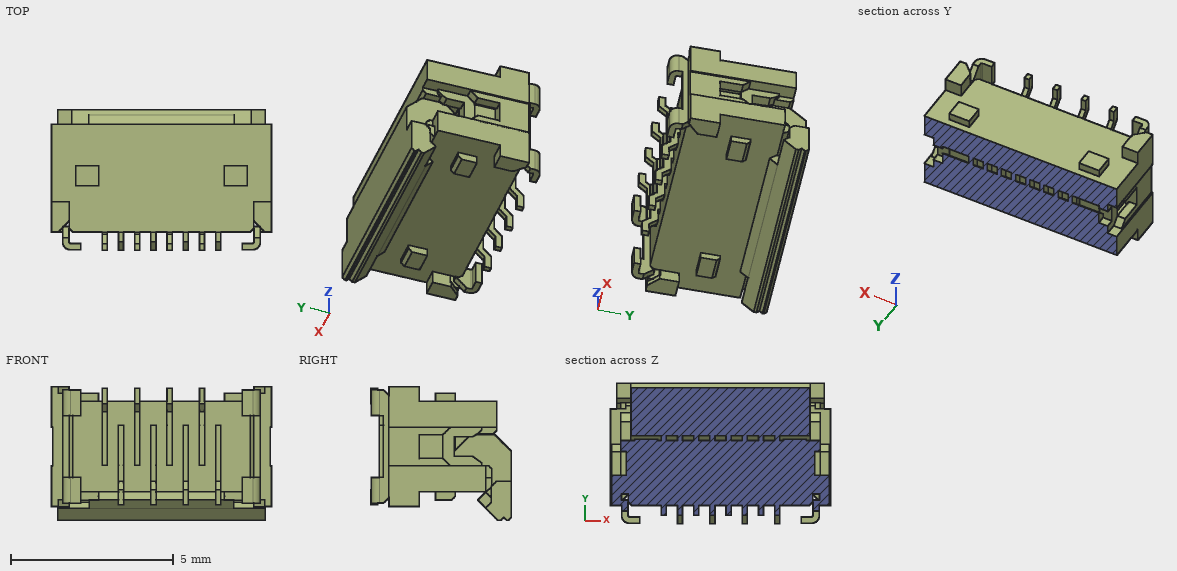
import cadquery as cq
import math

LENGTH = 6.8
HALF_LENGTH = LENGTH / 2
BODY_HALF_HEIGHT = 1.4
ROOF_REAR = 3.33
FLOOR_REAR = 2.98
ROOF_UNDERSIDE = 0.39
ROOF_CHAMFER = 0.11

FLANGE_HALF_HEIGHT = 1.85
FLANGE_DEPTH = 0.94
FLANGE_INNER_X = 2.85
FLANGE_CHAMFER = 0.33
FLANGE_CAP = 0.205

RECESS_HALF_HEIGHT = 0.6
SIDE_RECESS_X = 3.36
REAR_RECESS_X = 3.08
REAR_RECESS_FRONT = 1.665
REAR_RECESS_CHAMFER = 0.23
WINDOW_FRONT = FLANGE_DEPTH
WINDOW_HALF_HEIGHT = 0.36
WINDOW_CAVITY_X = 2.91
WINDOW_CAVITY_HALF_HEIGHT = 0.475

MOUTH_END = 2.01
END_WALL_REAR = 2.86
END_SLOT_NECK = 2.58
END_SLOT_TOP = 0.3
END_SLOT_BOTTOM = -0.3
END_SLOT_TOP_FLARE = 0.52
END_SLOT_BOTTOM_FLARE = -0.5
ROOF_STEP_X = 2.99

LIP_REAR = 3.175
LIP_CHAMFER = 0.095
LIP_LEDGE = -0.96
LIP_SLOPE_TOP = -1.245
LIP_UPPER_HALF_LENGTH = 2.92

BOSS_LENGTH = 0.71
BOSS_WIDTH = 0.61
BOSS_HEIGHT = 0.25
BOSS_X = 2.29
BOSS_Y = 1.74
BOSS_CHAMFER = 0.115

LEVER_REAR = 3.775
LEVER_HALF_LENGTH = 3.2
LEVER_ARM_HALF_LENGTH = 2.77
LEVER_TONGUE_HALF_LENGTH = 2.23
LEVER_BOTTOM = -2.28
LEVER_ARM_TOP = 0.37
LEVER_SLOPE = 0.5
LEVER_SHOULDER = -1.075
LEVER_FRONT = 3.16
SLOPE_RELIEF_HALF_LENGTH = 2.25
SLOPE_RELIEF_REAR = 3.62
ARM_NOSE_TOP = 2.52
ARM_NOSE_BOTTOM = -0.14
SLOPE_RELIEF_DEPTH = 0.07
TOE_CHAMFER = 0.095
TOE_NOTCH = 0.23
TOE_FRONT = 3.36
BAR_HEEL = FLOOR_REAR
TONGUE_TIP = 2.735
SHOULDER_CHAMFER = 0.15
TONGUE_WEB_HALF_LENGTH = 2.075

BRACKET_THICKNESS = 0.205
BRACKET_OUTER_X = FLANGE_INNER_X + BRACKET_THICKNESS
GROOVE_DEPTH = 0.355
BRACKET_HALF_HEIGHT = 1.75
BRACKET_WEB_FRONT = -0.17
HOOK_FRONT = -0.55
HOOK_TIP_X = 2.49
HOOK_START = 0.95
HOOK_OUTER_RADIUS = 0.245
GROOVE_CHAMFER = 0.11

PIN_COUNT = 8
PIN_ROW_LENGTH = 3.5
PIN_PITCH = PIN_ROW_LENGTH / (PIN_COUNT - 1)
PIN_WIDTH = 0.16
PIN_BASE_TOP = 0.65
PIN_BASE_BOTTOM = -0.57
PIN_STEM_BACK = -0.07
PIN_STEM_FRONT = -0.305
PIN_TAIL_BACK = -0.355
PIN_TAIL_FRONT = -0.565
PIN_SLOPE_START = 1.07
PIN_BACK_SLOPE_START = 1.12
PIN_TIP = 1.8


def block(x0, x1, y0, y1, z0, z1):
    """Axis-aligned box between two corners."""
    return cq.Workplane("XY").box(x1 - x0, y1 - y0, z1 - z0, centered=False).translate((x0, y0, z0))


def side_profile(points, x0, x1):
    """Extrude a (Y, Z) outline along X from x0 to x1."""
    return cq.Workplane("YZ").workplane(offset=x0).polyline(points).close().extrude(x1 - x0)


def plan_profile(points, z0, z1):
    """Extrude an (X, Y) outline along Z from z0 to z1."""
    return cq.Workplane("XY").workplane(offset=z0).polyline(points).close().extrude(z1 - z0)


def both_ends(shape):
    """A feature of the +X end together with its mirror image at the -X end."""
    return shape.union(shape.mirror("YZ"))


def make_shell():
    """Solid body with a stepped rear and a chamfered roof edge."""
    outline = [
        (0, -BODY_HALF_HEIGHT),
        (FLOOR_REAR, -BODY_HALF_HEIGHT),
        (FLOOR_REAR, ROOF_UNDERSIDE),
        (ROOF_REAR - ROOF_CHAMFER, ROOF_UNDERSIDE),
        (ROOF_REAR, ROOF_UNDERSIDE + ROOF_CHAMFER),
        (ROOF_REAR, BODY_HALF_HEIGHT),
        (0, BODY_HALF_HEIGHT),
    ]
    return side_profile(outline, -HALF_LENGTH, HALF_LENGTH)


def make_flange():
    """Corner post with chamfered caps above and below the bracket groove."""
    flange = block(FLANGE_INNER_X, HALF_LENGTH, 0, FLANGE_DEPTH, -FLANGE_HALF_HEIGHT, FLANGE_HALF_HEIGHT)
    lower_cap = -FLANGE_HALF_HEIGHT + FLANGE_CAP
    upper_cap = FLANGE_HALF_HEIGHT - FLANGE_CAP
    corner = [
        (FLANGE_INNER_X, 0),
        (FLANGE_INNER_X + FLANGE_CHAMFER, 0),
        (FLANGE_INNER_X, FLANGE_CHAMFER),
    ]
    flange = flange.cut(plan_profile(corner, -FLANGE_HALF_HEIGHT, lower_cap))
    return flange.cut(plan_profile(corner, upper_cap, FLANGE_HALF_HEIGHT))


def make_bracket_groove():
    """Open groove in the terminal face, with the body corner beside it chamfered."""
    groove_top = FLANGE_HALF_HEIGHT - FLANGE_CAP
    outline = [
        (FLANGE_INNER_X - GROOVE_CHAMFER, 0),
        (BRACKET_OUTER_X, 0),
        (BRACKET_OUTER_X, GROOVE_DEPTH),
        (FLANGE_INNER_X, GROOVE_DEPTH),
        (FLANGE_INNER_X, GROOVE_CHAMFER),
    ]
    return plan_profile(outline, -groove_top, groove_top)


def make_end_recesses():
    """Stepped recess in the +X end wall with a window into a small cavity."""
    side = block(
        SIDE_RECESS_X, HALF_LENGTH, 0, ROOF_REAR, -RECESS_HALF_HEIGHT, RECESS_HALF_HEIGHT
    )
    rear_outline = [
        (ROOF_REAR, -RECESS_HALF_HEIGHT),
        (REAR_RECESS_FRONT + REAR_RECESS_CHAMFER, -RECESS_HALF_HEIGHT),
        (REAR_RECESS_FRONT, -RECESS_HALF_HEIGHT + REAR_RECESS_CHAMFER),
        (REAR_RECESS_FRONT, RECESS_HALF_HEIGHT - REAR_RECESS_CHAMFER),
        (REAR_RECESS_FRONT + REAR_RECESS_CHAMFER, RECESS_HALF_HEIGHT),
        (ROOF_REAR, RECESS_HALF_HEIGHT),
    ]
    rear = side_profile(rear_outline, REAR_RECESS_X, HALF_LENGTH)
    window = block(
        REAR_RECESS_X, HALF_LENGTH, WINDOW_FRONT, REAR_RECESS_FRONT, -WINDOW_HALF_HEIGHT, WINDOW_HALF_HEIGHT
    )
    cavity = block(
        WINDOW_CAVITY_X, REAR_RECESS_X, WINDOW_FRONT, REAR_RECESS_FRONT,
        -WINDOW_CAVITY_HALF_HEIGHT, WINDOW_CAVITY_HALF_HEIGHT,
    )
    return side.union(rear).union(window).union(cavity)


def make_mouth():
    """Opening between roof and floor, with flared slots through the end walls."""
    opening = block(
        -LEVER_ARM_HALF_LENGTH, LEVER_ARM_HALF_LENGTH,
        MOUTH_END, ROOF_REAR, -RECESS_HALF_HEIGHT, ROOF_UNDERSIDE,
    )
    slot_outline = [
        (ROOF_REAR, -RECESS_HALF_HEIGHT),
        (END_WALL_REAR, -RECESS_HALF_HEIGHT),
        (END_WALL_REAR, END_SLOT_BOTTOM_FLARE),
        (END_SLOT_NECK, END_SLOT_BOTTOM),
        (MOUTH_END, END_SLOT_BOTTOM),
        (MOUTH_END, END_SLOT_TOP),
        (END_SLOT_NECK, END_SLOT_TOP),
        (END_WALL_REAR + ROOF_UNDERSIDE - END_SLOT_TOP_FLARE, ROOF_UNDERSIDE),
        (ROOF_REAR, ROOF_UNDERSIDE),
    ]
    step_outline = [
        (ROOF_REAR, ROOF_UNDERSIDE),
        (END_WALL_REAR + ROOF_UNDERSIDE - END_SLOT_TOP_FLARE, ROOF_UNDERSIDE),
        (END_WALL_REAR, END_SLOT_TOP_FLARE),
        (END_WALL_REAR, RECESS_HALF_HEIGHT),
        (ROOF_REAR, RECESS_HALF_HEIGHT),
    ]
    step = side_profile(step_outline, ROOF_STEP_X, HALF_LENGTH)
    return opening.union(side_profile(slot_outline, -HALF_LENGTH, HALF_LENGTH)).union(both_ends(step))


def make_floor_lip():
    """Rear lip of the floor, wider below the ledge than above it."""
    upper_outline = [
        (FLOOR_REAR, LIP_LEDGE),
        (LIP_REAR, LIP_LEDGE),
        (LIP_REAR, -RECESS_HALF_HEIGHT - LIP_CHAMFER),
        (LIP_REAR - LIP_CHAMFER, -RECESS_HALF_HEIGHT),
        (FLOOR_REAR, -RECESS_HALF_HEIGHT),
    ]
    lower_outline = [
        (FLOOR_REAR, LIP_LEDGE),
        (FLOOR_REAR, -BODY_HALF_HEIGHT),
        (LIP_REAR, LIP_SLOPE_TOP),
        (LIP_REAR, LIP_LEDGE),
    ]
    upper = side_profile(upper_outline, -LIP_UPPER_HALF_LENGTH, LIP_UPPER_HALF_LENGTH)
    lower = side_profile(lower_outline, -REAR_RECESS_X, REAR_RECESS_X)
    return upper.union(lower)


def make_bosses():
    """Bosses above and below the body at +X, the lower one chamfered at the rear."""
    top = BODY_HALF_HEIGHT + BOSS_HEIGHT
    boss = cq.Workplane("XY").box(BOSS_LENGTH, BOSS_WIDTH, 2 * top)
    return boss.edges(">Y and <Z").chamfer(BOSS_CHAMFER).translate((BOSS_X, BOSS_Y, 0))


def make_bracket():
    """Plate seated in the flange groove with two hooks bent inwards."""
    slope_run = BRACKET_HALF_HEIGHT - BODY_HALF_HEIGHT
    outline = [
        (BRACKET_WEB_FRONT + slope_run, -BODY_HALF_HEIGHT),
        (BRACKET_WEB_FRONT, -BRACKET_HALF_HEIGHT),
        (BRACKET_WEB_FRONT, BRACKET_HALF_HEIGHT),
        (BRACKET_WEB_FRONT + slope_run, BODY_HALF_HEIGHT),
    ]
    bracket = side_profile(outline, FLANGE_INNER_X, BRACKET_OUTER_X)
    inner_radius = HOOK_OUTER_RADIUS - BRACKET_THICKNESS
    centre_x = BRACKET_OUTER_X - HOOK_OUTER_RADIUS
    centre_y = HOOK_FRONT + HOOK_OUTER_RADIUS
    bend = math.sqrt(0.5)
    for start in (HOOK_START, -BRACKET_HALF_HEIGHT):
        hook = (
            cq.Workplane("XY").workplane(offset=start)
            .moveTo(BRACKET_OUTER_X, BRACKET_WEB_FRONT)
            .lineTo(BRACKET_OUTER_X, centre_y)
            .threePointArc(
                (centre_x + HOOK_OUTER_RADIUS * bend, centre_y - HOOK_OUTER_RADIUS * bend),
                (centre_x, HOOK_FRONT),
            )
            .lineTo(HOOK_TIP_X, HOOK_FRONT)
            .lineTo(HOOK_TIP_X, HOOK_FRONT + BRACKET_THICKNESS)
            .lineTo(centre_x, HOOK_FRONT + BRACKET_THICKNESS)
            .threePointArc(
                (centre_x + inner_radius * bend, centre_y - inner_radius * bend),
                (FLANGE_INNER_X, centre_y),
            )
            .lineTo(FLANGE_INNER_X, BRACKET_WEB_FRONT)
            .close()
            .extrude(BRACKET_HALF_HEIGHT - HOOK_START)
        )
        bracket = bracket.union(hook)
    return bracket


def make_pin(x, side):
    """Terminal with its tail turned up (side = 1) or down (side = -1), and its contact in the mouth."""
    tail_end = PIN_BASE_TOP if side > 0 else -PIN_BASE_BOTTOM
    blunt_end = PIN_BASE_BOTTOM if side > 0 else -PIN_BASE_TOP
    outline = [
        (0, blunt_end),
        (0, tail_end),
        (PIN_STEM_BACK, tail_end),
        (PIN_STEM_BACK, PIN_BACK_SLOPE_START),
        (PIN_TAIL_BACK, PIN_BACK_SLOPE_START + PIN_STEM_BACK - PIN_TAIL_BACK),
        (PIN_TAIL_BACK, PIN_TIP),
        (PIN_TAIL_FRONT, PIN_TIP),
        (PIN_TAIL_FRONT, PIN_SLOPE_START + PIN_STEM_FRONT - PIN_TAIL_FRONT),
        (PIN_STEM_FRONT, PIN_SLOPE_START),
        (PIN_STEM_FRONT, blunt_end),
    ]
    points = [(y, side * z) for y, z in outline]
    stem = side_profile(points, x - PIN_WIDTH / 2, x + PIN_WIDTH / 2)
    contact = block(
        x - PIN_WIDTH / 2, x + PIN_WIDTH / 2,
        MOUTH_END, ARM_NOSE_TOP, ARM_NOSE_BOTTOM, ROOF_UNDERSIDE,
    )
    return stem.union(contact)


def make_lever():
    """Locking lever: arm in the mouth, full-length bar below it and a tongue under the floor."""
    heel_z = LEVER_BOTTOM + TOE_FRONT - BAR_HEEL
    arm_outline = [
        (LEVER_REAR, LIP_SLOPE_TOP),
        (LEVER_REAR, LEVER_ARM_TOP - LEVER_SLOPE),
        (LEVER_REAR - LEVER_SLOPE, LEVER_ARM_TOP),
        (ARM_NOSE_TOP, LEVER_ARM_TOP),
        (MOUTH_END, ARM_NOSE_BOTTOM),
        (MOUTH_END, -RECESS_HALF_HEIGHT),
        (LIP_REAR - LIP_CHAMFER, -RECESS_HALF_HEIGHT),
        (LIP_REAR, -RECESS_HALF_HEIGHT - LIP_CHAMFER),
        (LIP_REAR, LIP_SLOPE_TOP),
    ]
    arm = side_profile(arm_outline, -LEVER_ARM_HALF_LENGTH, LEVER_ARM_HALF_LENGTH)
    slope_relief = side_profile(
        [
            (SLOPE_RELIEF_REAR, LEVER_ARM_TOP - LEVER_SLOPE + LEVER_REAR - SLOPE_RELIEF_REAR),
            (LEVER_REAR - LEVER_SLOPE, LEVER_ARM_TOP),
            (LEVER_REAR - LEVER_SLOPE, LEVER_ARM_TOP - SLOPE_RELIEF_DEPTH),
        ],
        -SLOPE_RELIEF_HALF_LENGTH, SLOPE_RELIEF_HALF_LENGTH,
    )
    bar_outline = [
        (LEVER_REAR, LEVER_SHOULDER),
        (LEVER_REAR, LEVER_BOTTOM + TOE_CHAMFER),
        (LEVER_REAR - TOE_CHAMFER, LEVER_BOTTOM),
        (LEVER_REAR - TOE_NOTCH + TOE_CHAMFER, LEVER_BOTTOM),
        (LEVER_REAR - TOE_NOTCH, LEVER_BOTTOM + TOE_CHAMFER),
        (LEVER_REAR - TOE_NOTCH - TOE_CHAMFER, LEVER_BOTTOM),
        (TOE_FRONT, LEVER_BOTTOM),
        (BAR_HEEL, heel_z),
        (LEVER_FRONT, heel_z + LEVER_FRONT - BAR_HEEL),
        (LEVER_FRONT, LEVER_SHOULDER - SHOULDER_CHAMFER),
        (LEVER_FRONT + SHOULDER_CHAMFER, LEVER_SHOULDER),
    ]
    bar = side_profile(bar_outline, -LEVER_HALF_LENGTH, LEVER_HALF_LENGTH)
    tongue_back_z = -BODY_HALF_HEIGHT + FLOOR_REAR - LEVER_FRONT
    tongue_outline = [
        (LEVER_FRONT, tongue_back_z),
        (FLOOR_REAR, -BODY_HALF_HEIGHT),
        (TONGUE_TIP, -BODY_HALF_HEIGHT + TONGUE_TIP - FLOOR_REAR),
        (BAR_HEEL, heel_z),
        (LEVER_FRONT, heel_z),
    ]
    tongue = side_profile(tongue_outline, -LEVER_TONGUE_HALF_LENGTH, LEVER_TONGUE_HALF_LENGTH)
    web_outline = [
        (LIP_REAR, LIP_SLOPE_TOP),
        (FLOOR_REAR, -BODY_HALF_HEIGHT),
        (LEVER_FRONT, tongue_back_z),
        (LIP_REAR, tongue_back_z),
    ]
    web = side_profile(web_outline, -TONGUE_WEB_HALF_LENGTH, TONGUE_WEB_HALF_LENGTH)
    return arm.cut(slope_relief).union(bar).union(tongue).union(web)


housing = make_shell().union(both_ends(make_flange()))
housing = housing.cut(both_ends(make_end_recesses())).cut(make_mouth())
housing = housing.cut(both_ends(make_bracket_groove()))
housing = housing.union(make_floor_lip()).union(both_ends(make_bosses()))

result = housing.union(make_lever()).union(both_ends(make_bracket()))
for index in range(PIN_COUNT):
    pin_x = index * PIN_PITCH - PIN_ROW_LENGTH / 2
    tail_side = 1 if index % 2 == 0 else -1
    result = result.union(make_pin(pin_x, tail_side))